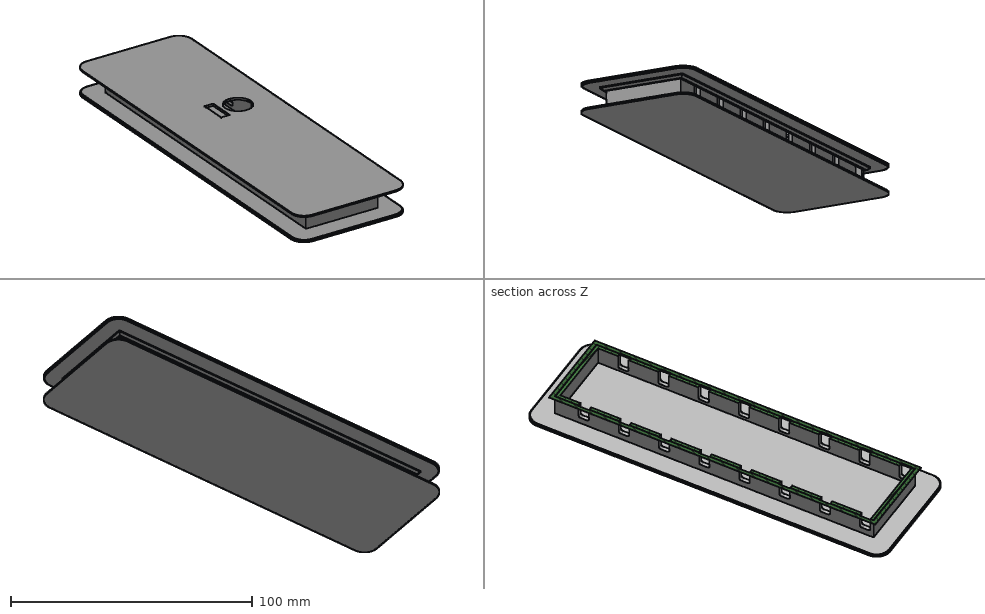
import cadquery as cq

length = 170.7
width = 54.3
height = 12.5

plate_thickness = 1.0
plate_corner_radius = 6.5
plate_edge_chamfer = 0.5
lid_plate_z = height - plate_thickness

tray_length = 151.5
tray_width = 35.5
wall_thickness = 1.9
tray_floor_z = 2.5

window_count = 8
first_window_x = -71.7
window_row_span = 133.7
window_pitch = window_row_span / (window_count - 1)
window_width = 5.0
window_bottom_z = 4.1
window_corner_radius = 1.0

collar_height = 1.5
collar_overhang = 2.0
collar_chamfer = 1.0
collar_bottom_z = lid_plate_z - collar_height

opening_x = -17.2
round_hole_diameter = 12.6
round_hole_y = 9.5
slot_length = round_hole_diameter
slot_width = 4.3
slot_y = -0.77


def make_box(size_x, size_y, bottom_z, top_z):
    """Block centred on the Z axis between two heights."""
    return (
        cq.Workplane("XY", origin=(0, 0, bottom_z))
        .rect(size_x, size_y)
        .extrude(top_z - bottom_z)
    )


def make_plate(bottom_z, chamfered_face):
    """Thin plate with rounded corners and a chamfer around the face that looks at the tray."""
    return (
        make_box(length, width, bottom_z, bottom_z + plate_thickness)
        .edges("|Z")
        .fillet(plate_corner_radius)
        .faces(chamfered_face)
        .edges()
        .chamfer(plate_edge_chamfer)
    )


def make_tray():
    """Open box with a raised floor."""
    block = make_box(tray_length, tray_width, plate_thickness, lid_plate_z)
    cavity = make_box(
        tray_length - 2 * wall_thickness,
        tray_width - 2 * wall_thickness,
        tray_floor_z,
        lid_plate_z,
    )
    return block.cut(cavity)


def make_window(x):
    """Cutter for one pair of facing windows, rounded at the lower corners."""
    return (
        make_box(window_width, tray_width, window_bottom_z, lid_plate_z)
        .edges("|Y and <Z")
        .fillet(window_corner_radius)
        .translate((x, 0, 0))
    )


def make_base():
    """Bottom plate and windowed tray in one piece."""
    base = make_plate(0, ">Z").union(make_tray())
    for index in range(window_count):
        base = base.cut(make_window(first_window_x + index * window_pitch))
    return base


def make_collar():
    """Rectangular frame around the tray walls, chamfered along its lower outer edge."""
    frame = (
        make_box(
            tray_length + 2 * collar_overhang,
            tray_width + 2 * collar_overhang,
            collar_bottom_z,
            lid_plate_z,
        )
        .faces("<Z")
        .edges()
        .chamfer(collar_chamfer)
    )
    return frame.cut(make_box(tray_length, tray_width, collar_bottom_z, lid_plate_z))


def make_lid():
    """Lid plate with its collar, pierced by the round hole and the slot."""
    lid = make_plate(lid_plate_z, "<Z").union(make_collar())
    lid_underside = cq.Workplane("XY", origin=(opening_x, 0, lid_plate_z))
    round_hole = (
        lid_underside.center(0, round_hole_y)
        .circle(round_hole_diameter / 2)
        .extrude(plate_thickness)
    )
    slot = (
        lid_underside.center(0, slot_y)
        .rect(slot_length, slot_width)
        .extrude(plate_thickness)
    )
    return lid.cut(round_hole).cut(slot)


base = make_base()
lid = make_lid()

result = cq.Compound.makeCompound([base.val(), lid.val()])